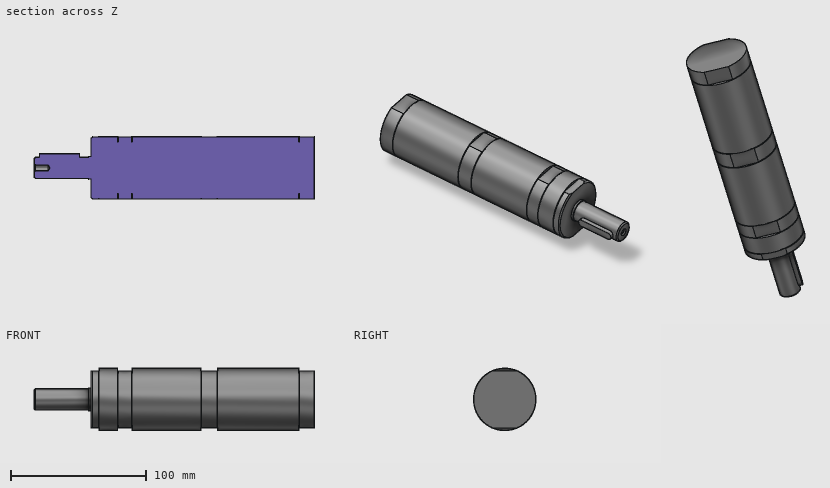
import cadquery as cq
import math

total_length = 206.5

body_diameter = 46.0
body_start = 42.0
nose_chamfer = 1.0
flat_height = 42.1

groove_width = 0.5
shallow_groove_diameter = 45.6
deep_groove_diameter = 38.5

flat_sections = [
    (body_start, 48.0, shallow_groove_diameter),
    (61.5, 72.3, deep_groove_diameter),
    (122.9, 135.3, shallow_groove_diameter),
    (195.0, total_length, deep_groove_diameter),
]

shaft_diameter = 16.0
shaft_chamfer = 1.0
collar_diameter = 17.0
collar_start = 40.0
collar_chamfer = 0.2

key_start = 4.0
key_length = 29.7
key_width = 6.0
key_height = 6.0
key_top = 10.5

hole_diameter = 4.1
hole_depth = 10.3
drill_point_angle = 120.0
countersink_diameter = 5.5
countersink_angle = 60.0


def cylinder(start, end, diameter):
    """Solid cylinder about the X axis between two X positions."""
    return cq.Workplane("YZ", origin=(start, 0, 0)).circle(diameter / 2).extrude(end - start)


def make_flat_cutter(start, end, side):
    """Block that removes the body outside one flat; side is +1 (top) or -1 (bottom)."""
    cut_height = body_diameter - flat_height
    return (
        cq.Workplane("XY")
        .box(end - start, body_diameter, cut_height)
        .translate(((start + end) / 2, 0, side * (flat_height + cut_height) / 2))
    )


def make_groove_cutter(start, groove_diameter):
    """Ring that cuts a joint groove from the body surface down to the groove diameter."""
    end = start + groove_width
    return cylinder(start, end, 2 * body_diameter).cut(cylinder(start, end, groove_diameter))


def make_body():
    body = cylinder(body_start, total_length, body_diameter).faces("<X").chamfer(nose_chamfer)
    for start, end, groove_diameter in flat_sections:
        for side in (1, -1):
            body = body.cut(make_flat_cutter(start, end, side))
        if start > body_start:
            body = body.cut(make_groove_cutter(start, groove_diameter))
        if end < total_length:
            body = body.cut(make_groove_cutter(end - groove_width, groove_diameter))
    return body


def make_shaft():
    shaft = cylinder(0, body_start, shaft_diameter).faces("<X").chamfer(shaft_chamfer)
    collar = cylinder(collar_start, body_start, collar_diameter).faces("<X").chamfer(collar_chamfer)
    return shaft.union(collar)


def make_key():
    return (
        cq.Workplane("XZ", origin=(key_start + key_length / 2, key_top, 0))
        .slot2D(key_length, key_width)
        .extrude(key_height)
    )


def make_centre_hole():
    """Countersunk blind hole with a conical bottom, revolved about the X axis."""
    hole_radius = hole_diameter / 2
    countersink_radius = countersink_diameter / 2
    countersink_depth = (countersink_radius - hole_radius) / math.tan(math.radians(countersink_angle / 2))
    point_length = hole_radius / math.tan(math.radians(drill_point_angle / 2))
    return (
        cq.Workplane("XY")
        .polyline([
            (0, 0),
            (0, countersink_radius),
            (countersink_depth, hole_radius),
            (hole_depth, hole_radius),
            (hole_depth + point_length, 0),
        ])
        .close()
        .revolve(360, (0, 0, 0), (1, 0, 0))
    )


result = make_body().union(make_shaft()).union(make_key()).cut(make_centre_hole())